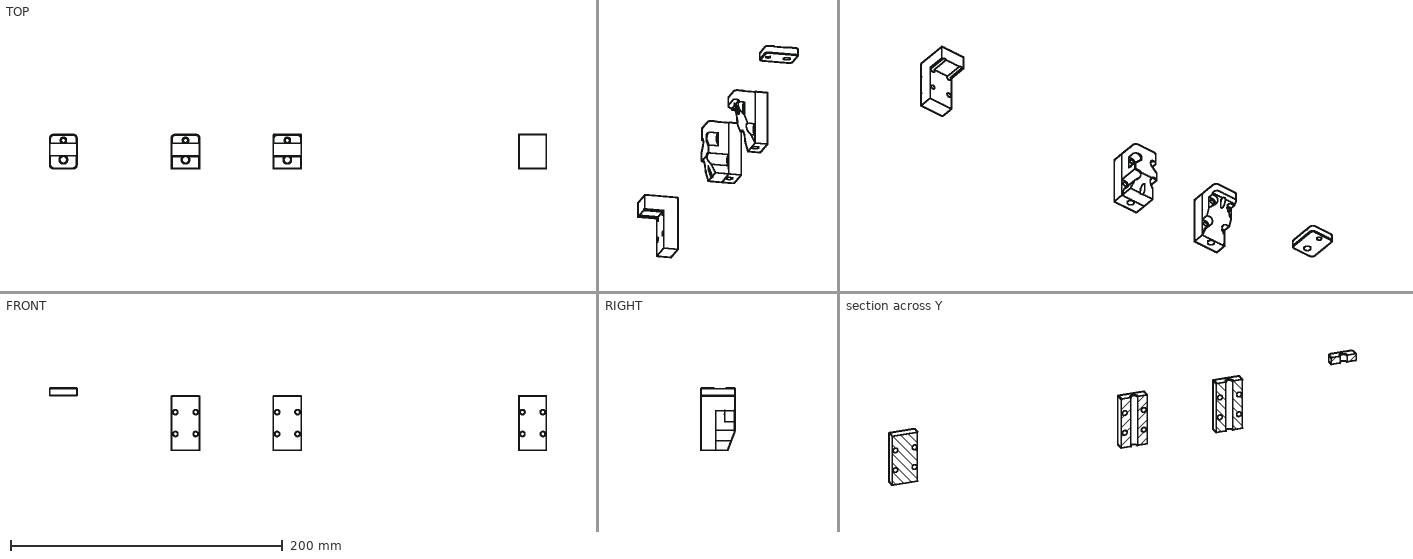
import cadquery as cq
import math

LENGTH = 365.5
DEPTH = 25.2
TOTAL_HEIGHT = 46.0
UNIT_HEIGHT = 40.2
PLATE_WIDTH = 20.0
CLAMP_WIDTH = 21.0

SHORT_CLAMP_LEFT = 89.5
LONG_CLAMP_LEFT = 164.5
PLATE_X = PLATE_WIDTH / 2
SHORT_CLAMP_X = SHORT_CLAMP_LEFT + CLAMP_WIDTH / 2
LONG_CLAMP_X = LONG_CLAMP_LEFT + CLAMP_WIDTH / 2
BRACKET_X = LENGTH - PLATE_WIDTH / 2

EDGE_CHAMFER = 0.5
CORNER_RADIUS = 3.0
WALL_THICKNESS = 9.5
GROOVE_BACK_Y = 18.5
GROOVE_DEPTH = EDGE_CHAMFER
LARGE_HOLE_DIAMETER = 5.0
LARGE_HOLE_Y = 6.5
SMALL_HOLE_DIAMETER = 3.5
SMALL_HOLE_Y = 21.0

SCREW_DIAMETER = 3.4
SCREW_SPACING_X = 15.0
SCREW_LOW_Z = 12.0
SCREW_HIGH_Z = 28.0

NECK_RADIUS = 3.0
UPPER_NECK_FRONT_Y = 17.5
LOBE_HALF_WIDTH = CLAMP_WIDTH / 2
LOWER_LOBE_TOP_HALF_WIDTH = 8.5
UPPER_CEILING_Z = SCREW_HIGH_Z + NECK_RADIUS

RELIEF_ANGLE = 21
RELIEF_LEAN = math.tan(math.radians(RELIEF_ANGLE))
LONG_RELIEF_FOOT_Y = 19.7
SHORT_RELIEF_TOP_Z = 32.0

BRACKET_THICKNESS = 11.0


def block(width, y_front, y_back, z_bottom, z_top):
    """Box centred on X = 0."""
    box = cq.Workplane("XY").box(width, y_back - y_front, z_top - z_bottom, centered=(True, False, False))
    return box.translate((0, y_front, z_bottom))


def side_prism(outline, width):
    """Prism centred on X = 0 from an outline of (y, z) points."""
    return cq.Workplane("YZ").polyline(outline).close().extrude(width / 2, both=True)


def top_hole(diameter, y, z_top):
    """Cutter for a vertical through hole with a chamfered mouth at z_top."""
    radius = diameter / 2
    bore = cq.Workplane("XY").center(0, y).circle(radius).extrude(z_top)
    mouth = cq.Solid.makeCone(
        radius, radius + EDGE_CHAMFER, EDGE_CHAMFER, cq.Vector(0, y, z_top - EDGE_CHAMFER), cq.Vector(0, 0, 1)
    )
    return bore.union(cq.Workplane(mouth))


def top_groove(width, z_top):
    """Cutter for the shallow groove across the top."""
    return block(width, WALL_THICKNESS, GROOVE_BACK_Y, z_top - GROOVE_DEPTH, z_top)


def screw_holes():
    """Cutter for the four screw holes."""
    middle_z = (SCREW_LOW_Z + SCREW_HIGH_Z) / 2
    return (
        cq.Workplane("XZ", origin=(0, 0, middle_z))
        .rarray(SCREW_SPACING_X, SCREW_HIGH_Z - SCREW_LOW_Z, 2, 2)
        .circle(SCREW_DIAMETER / 2)
        .extrude(-DEPTH)
    )


def make_plate():
    plate = block(PLATE_WIDTH, 0, DEPTH, UNIT_HEIGHT, TOTAL_HEIGHT)
    plate = plate.edges("|Z").fillet(CORNER_RADIUS)
    plate = plate.faces("<Z or >Z").edges().chamfer(EDGE_CHAMFER)
    plate = plate.cut(top_groove(PLATE_WIDTH, TOTAL_HEIGHT))
    plate = plate.cut(top_hole(LARGE_HOLE_DIAMETER, LARGE_HOLE_Y, TOTAL_HEIGHT))
    return plate.cut(top_hole(SMALL_HOLE_DIAMETER, SMALL_HOLE_Y, TOTAL_HEIGHT))


def make_wall():
    wall = block(CLAMP_WIDTH, 0, WALL_THICKNESS, 0, UNIT_HEIGHT)
    wall = wall.faces(">Z").edges().chamfer(EDGE_CHAMFER)
    wall = wall.cut(top_hole(LARGE_HOLE_DIAMETER, LARGE_HOLE_Y, UNIT_HEIGHT))
    return wall.cut(screw_holes())


def neck_start(side, screw_z, front_y):
    """Half of a neck outline: flat ceiling, then an arc about the screw axis down to the 45 degree slope.

    Returns the unfinished outline and the (x, z) end of its arc, with x measured outward.
    """
    axis_x = SCREW_SPACING_X / 2
    diagonal = NECK_RADIUS * math.sqrt(0.5)
    arc_end = (axis_x - diagonal, screw_z - diagonal)
    outline = (
        cq.Workplane("XZ", origin=(0, front_y, 0))
        .moveTo(side * CLAMP_WIDTH, screw_z + NECK_RADIUS)
        .lineTo(side * axis_x, screw_z + NECK_RADIUS)
        .threePointArc((side * (axis_x - NECK_RADIUS), screw_z), (side * arc_end[0], arc_end[1]))
    )
    return outline, arc_end


def upper_neck(side):
    """Cutter above the upper lobe, sloping outward past its side."""
    outline, (x, z) = neck_start(side, SCREW_HIGH_Z, UPPER_NECK_FRONT_Y)
    slope_end_z = z - (CLAMP_WIDTH - x)
    return outline.lineTo(side * CLAMP_WIDTH, slope_end_z).close().extrude(-DEPTH)


def lower_neck(side):
    """Cutter above and beside the lower lobe, which widens toward its foot."""
    outline, (x, z) = neck_start(side, SCREW_LOW_Z, WALL_THICKNESS)
    slope_end_z = z - (LOWER_LOBE_TOP_HALF_WIDTH - x)
    return (
        outline.lineTo(side * LOWER_LOBE_TOP_HALF_WIDTH, slope_end_z)
        .lineTo(side * LOBE_HALF_WIDTH, 0)
        .lineTo(side * CLAMP_WIDTH, 0)
        .close()
        .extrude(-DEPTH)
    )


def make_lobes():
    relief_end_z = (DEPTH - LONG_RELIEF_FOOT_Y) / RELIEF_LEAN
    lobes = side_prism(
        [
            (WALL_THICKNESS, 0),
            (LONG_RELIEF_FOOT_Y, 0),
            (DEPTH, relief_end_z),
            (DEPTH, UPPER_CEILING_Z),
            (WALL_THICKNESS, UPPER_CEILING_Z),
        ],
        CLAMP_WIDTH,
    )
    for side in (-1, 1):
        lobes = lobes.cut(upper_neck(side))
        lobes = lobes.cut(lower_neck(side))
    return lobes.faces(">Y").edges("not #Z").chamfer(EDGE_CHAMFER)


def make_long_head():
    top = block(CLAMP_WIDTH, WALL_THICKNESS, DEPTH, UPPER_CEILING_Z, UNIT_HEIGHT)
    top = top.edges("|Z and >Y").fillet(CORNER_RADIUS)
    top = top.faces(">Z").edges("not <Y").chamfer(EDGE_CHAMFER)
    top = top.cut(top_groove(CLAMP_WIDTH, UNIT_HEIGHT))
    head = top.union(make_lobes())
    head = head.cut(screw_holes())
    return head.cut(top_hole(SMALL_HOLE_DIAMETER, SMALL_HOLE_Y, UNIT_HEIGHT))


def make_short_head():
    """Long head cut back by a leaning notch, with a rising ceiling, that starts at the foot of the wall."""
    corner_y = WALL_THICKNESS + SHORT_RELIEF_TOP_Z * RELIEF_LEAN
    outside_y = 2 * DEPTH
    notch = side_prism(
        [
            (WALL_THICKNESS, 0),
            (corner_y, SHORT_RELIEF_TOP_Z),
            (outside_y, SHORT_RELIEF_TOP_Z + (outside_y - corner_y) * RELIEF_LEAN),
            (outside_y, 0),
        ],
        2 * CLAMP_WIDTH,
    )
    return make_long_head().cut(notch)


def make_bracket():
    slab_bottom_z = UNIT_HEIGHT - BRACKET_THICKNESS
    bracket = side_prism(
        [
            (0, 0),
            (BRACKET_THICKNESS, 0),
            (BRACKET_THICKNESS, slab_bottom_z),
            (DEPTH, slab_bottom_z),
            (DEPTH, UNIT_HEIGHT),
            (0, UNIT_HEIGHT),
        ],
        PLATE_WIDTH,
    )
    bracket = bracket.edges("<Y and >Z").chamfer(EDGE_CHAMFER)
    return bracket.cut(screw_holes())


plate = make_plate().translate((PLATE_X, 0, 0))
walls = [make_wall().translate((x, 0, 0)).val() for x in (SHORT_CLAMP_X, LONG_CLAMP_X)]
short_head = make_short_head().translate((SHORT_CLAMP_X, 0, 0))
long_head = make_long_head().translate((LONG_CLAMP_X, 0, 0))
bracket = make_bracket().translate((BRACKET_X, 0, 0))

result = cq.Compound.makeCompound([plate.val(), *walls, short_head.val(), long_head.val(), bracket.val()])